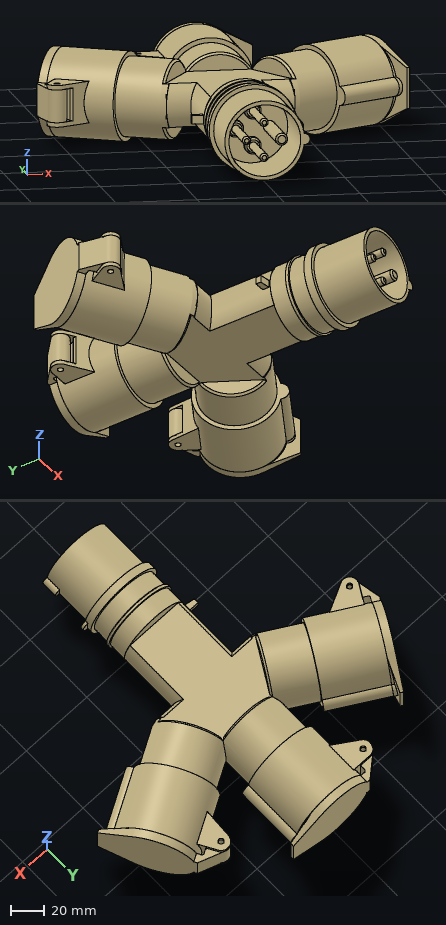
import cadquery as cq
import math


tube_radius = 24.5
head_radius = 27.5
socket_angles = (-60, 0, 60)

hub_half_height = 13.5
hub_reach = 34.1
side_bulge = 4.5
stem_half_width = tube_radius - side_bulge
collar_length = 3.7
collar_start_radius = 23.5

neck_chamfer = 1.4
head_start = 64.5
head_end = 107.6
lid_top = 113.4
rib_radius = 6.0
rib_offset = head_radius - 1.4

hinge_x = -37.8
hinge_y = 96.9
knuckle_radius = 6.0
hinge_hole_radius = 1.8
bracket_half_height = 12.8
arm_half_height = 10.0
bracket_root = (-24.3, 81.0)
slot_radius = 7.8
slot_mouth_x = -34.5

arm_outer_x = -28.0
arm_corner_radius = 1.1
tab_tip_x = 35.3
tab_tip_half_width = 12.5
tab_tip_thickness = 2.5
tab_root_x = 14.9

shoulder_y = -47.2
mouth_y = -115.6
bore_radius = 22.0
bore_floor_y = -73.7
ring_radius = 25.9
ring_top_y = -59.3
ring_length = 2.0
flange_radius = 27.3
flange_top_y = -73.7
flange_length = 5.5
lug_radius = 5.3
lug_offset = 25.5
lug_length = 2.3
key_radius = 3.5
key_length = 11.2
nub_tip_x = -31.4
nub_top_y = -41.7
nub_tip_length = 3.5
nub_root_length = 4.5
nub_half_height = 2.5

pin_circle_radius = 10.8
pin_recess = 1.4
pin_chamfer = 1.1
contact_radius = 2.5
earth_radius = 3.7
pin_collar_radius = 5.0
pin_collar_length = 4.5
contact_directions = ((-1, 0), (0, 1), (0, -1))
earth_direction = (1, 0)


def rod(radius, y_start, y_end, x=0.0, z=0.0):
    """Cylinder parallel to Y."""
    length = abs(y_end - y_start)
    start = cq.Vector(x, min(y_start, y_end), z)
    return cq.Workplane(cq.Solid.makeCylinder(radius, length, start, cq.Vector(0, 1, 0)))


def plate(outline, half_height):
    """Extrude a closed XY outline equally above and below Z = 0."""
    return outline.extrude(half_height, both=True)


def tangent_point(center, radius, point, side):
    """Where the line from an outside point touches a circle; side is +1 or -1."""
    dx = point[0] - center[0]
    dy = point[1] - center[1]
    angle = math.atan2(dy, dx) + side * math.acos(radius / math.hypot(dx, dy))
    return (center[0] + radius * math.cos(angle), center[1] + radius * math.sin(angle))


def turned(body, angle):
    return body.rotate((0, 0, 0), (0, 0, 1), angle)


hinge_center = (hinge_x, hinge_y)
bracket_top_y = hinge_y + knuckle_radius
hinge_tip = (hinge_x - knuckle_radius, hinge_y)
bracket_tangent = tangent_point(hinge_center, knuckle_radius, bracket_root, -1)


def hinge_hole():
    return plate(cq.Workplane().center(*hinge_center).circle(hinge_hole_radius), head_radius)


def bulged_bar(plane, half_width, length):
    """Bar with flat top and bottom and arc-shaped sides."""
    return (
        cq.Workplane(plane)
        .moveTo(-half_width, hub_half_height)
        .lineTo(half_width, hub_half_height)
        .threePointArc((half_width + side_bulge, 0), (half_width, -hub_half_height))
        .lineTo(-half_width, -hub_half_height)
        .threePointArc((-half_width - side_bulge, 0), (-half_width, hub_half_height))
        .close()
        .extrude(length)
    )


def make_hub():
    corner_x = hub_reach / math.cos(math.radians(30))
    top_corner_x = hub_reach * math.tan(math.radians(30))
    crown = plate(
        cq.Workplane().polyline(
            [(-corner_x, 0), (corner_x, 0), (top_corner_x, hub_reach), (-top_corner_x, hub_reach)]
        ).close(),
        hub_half_height,
    )
    stem = bulged_bar("XZ", stem_half_width, -shoulder_y)
    crossbar_half_width = stem_half_width / 2
    crossbar = (
        bulged_bar("YZ", crossbar_half_width, 2 * corner_x)
        .translate((-corner_x, crossbar_half_width, 0))
    )
    hub = crown.union(stem).union(crossbar)
    for angle in socket_angles:
        hub = hub.union(turned(make_collar(), angle))
    return hub


def make_collar():
    """Slightly conical transition from the hub sides to a neck, as thick as the hub."""
    collar_end = hub_reach + neck_chamfer
    cone = cq.Workplane(cq.Solid.makeCone(
        collar_start_radius, tube_radius, collar_length,
        cq.Vector(0, collar_end - collar_length, 0), cq.Vector(0, 1, 0),
    ))
    layer = cq.Workplane().box(4 * tube_radius, 4 * tube_radius, 2 * hub_half_height)
    return cone.intersect(layer)


def make_bracket():
    """Hinge bracket on the socket head, slotted for the lid arm."""
    bracket = plate(
        cq.Workplane()
        .moveTo(0, bracket_top_y)
        .lineTo(hinge_x, bracket_top_y)
        .threePointArc(hinge_tip, bracket_tangent)
        .lineTo(*bracket_root)
        .lineTo(0, bracket_root[1])
        .close(),
        bracket_half_height,
    )
    return bracket.cut(make_slot()).cut(hinge_hole())


def make_slot():
    """Round clearance for the knuckle, open towards the lid, below and outwards."""
    pocket = plate(cq.Workplane().center(*hinge_center).circle(slot_radius), arm_half_height)
    outer_x = hinge_x - slot_radius
    lid_opening = make_opening(outer_x, hinge_x + slot_radius, hinge_y, head_end)
    lower_opening = make_opening(outer_x, slot_mouth_x, bracket_root[1], hinge_y)
    return pocket.union(lid_opening).union(lower_opening)


def make_opening(x_start, x_end, y_start, y_end):
    outline = cq.Workplane().moveTo((x_start + x_end) / 2, (y_start + y_end) / 2)
    return plate(outline.rect(x_end - x_start, y_end - y_start), arm_half_height)


def make_socket():
    neck = rod(tube_radius, hub_reach, head_start).faces("<Y").chamfer(neck_chamfer)
    head = rod(head_radius, head_start, head_end)
    rib = rod(rib_radius, head_start, head_end, x=rib_offset)
    return neck.union(head).union(rib).union(make_bracket())


def make_pin(radius, direction):
    pin = rod(radius, bore_floor_y, mouth_y + pin_recess).faces("<Y").chamfer(pin_chamfer)
    return pin.translate((direction[0] * pin_circle_radius, 0, direction[1] * pin_circle_radius))


def make_pin_collar(direction):
    collar = rod(pin_collar_radius, bore_floor_y, bore_floor_y - pin_collar_length)
    collar = collar.faces("<Y").chamfer(pin_chamfer)
    return collar.translate((direction[0] * pin_circle_radius, 0, direction[1] * pin_circle_radius))


def make_nub():
    """Small latch nub on the side of the stem."""
    root_x = -stem_half_width
    return plate(
        cq.Workplane().polyline([
            (root_x, nub_top_y),
            (nub_tip_x, nub_top_y),
            (nub_tip_x, nub_top_y - nub_tip_length),
            (-tube_radius, nub_top_y - nub_root_length),
            (root_x, nub_top_y - nub_root_length),
        ]).close(),
        nub_half_height,
    )


def make_plug():
    flange_end_y = flange_top_y - flange_length
    plug = rod(tube_radius, shoulder_y, mouth_y)
    plug = plug.union(rod(ring_radius, ring_top_y, ring_top_y - ring_length))
    plug = plug.union(rod(flange_radius, flange_top_y, flange_end_y))
    plug = plug.union(rod(lug_radius, flange_end_y + lug_length, flange_end_y, x=lug_offset))
    plug = plug.union(rod(key_radius, mouth_y + key_length, mouth_y, x=tube_radius))
    plug = plug.cut(rod(bore_radius, bore_floor_y, mouth_y))
    for direction in contact_directions:
        plug = plug.union(make_pin_collar(direction))
        plug = plug.union(make_pin(contact_radius, direction))
    return plug.union(make_pin(earth_radius, earth_direction))


def make_housing():
    body = make_hub().union(make_plug()).union(make_nub())
    for angle in socket_angles:
        body = body.union(turned(make_socket(), angle))
    return body


def make_tab():
    """Finger tab: tangent to the lid disc, thinning towards its tip."""
    touch = tangent_point((0, 0), head_radius, (tab_tip_x, tab_tip_half_width), 1)
    blank = (
        cq.Workplane("XZ", origin=(0, lid_top, 0))
        .polyline([
            (0, touch[1]),
            touch,
            (tab_tip_x, tab_tip_half_width),
            (tab_tip_x, -tab_tip_half_width),
            (touch[0], -touch[1]),
            (0, -touch[1]),
        ])
        .close()
        .extrude(lid_top - head_end)
    )
    wedge = plate(
        cq.Workplane().polyline([
            (0, lid_top),
            (0, head_end),
            (tab_root_x, head_end),
            (tab_tip_x, lid_top - tab_tip_thickness),
            (tab_tip_x, lid_top),
        ]).close(),
        head_radius,
    )
    return blank.intersect(wedge)


def make_lid_arm():
    """Hinge arm that reaches from the lid into the bracket slot."""
    outer_tangent = tangent_point(hinge_center, knuckle_radius, (arm_outer_x, lid_top), 1)
    arm_inner_x = hinge_x + slot_radius
    arm = plate(
        cq.Workplane()
        .moveTo(0, lid_top)
        .lineTo(arm_outer_x, lid_top)
        .lineTo(*outer_tangent)
        .threePointArc((hinge_x, hinge_y - knuckle_radius), (hinge_x + knuckle_radius, hinge_y))
        .lineTo(arm_inner_x, bracket_top_y)
        .lineTo(arm_inner_x, head_end - arm_corner_radius)
        .radiusArc((arm_inner_x + arm_corner_radius, head_end), arm_corner_radius)
        .lineTo(0, head_end)
        .close(),
        arm_half_height,
    )
    return arm.cut(hinge_hole())


def make_lid():
    disc = rod(head_radius, head_end, lid_top)
    rib_end = rod(rib_radius, head_end, lid_top, x=rib_offset)
    return disc.union(make_tab()).union(rib_end).union(make_lid_arm())


housing = make_housing()
lids = [turned(make_lid(), angle) for angle in socket_angles]

result = cq.Compound.makeCompound([housing.val(), *[lid.val() for lid in lids]])